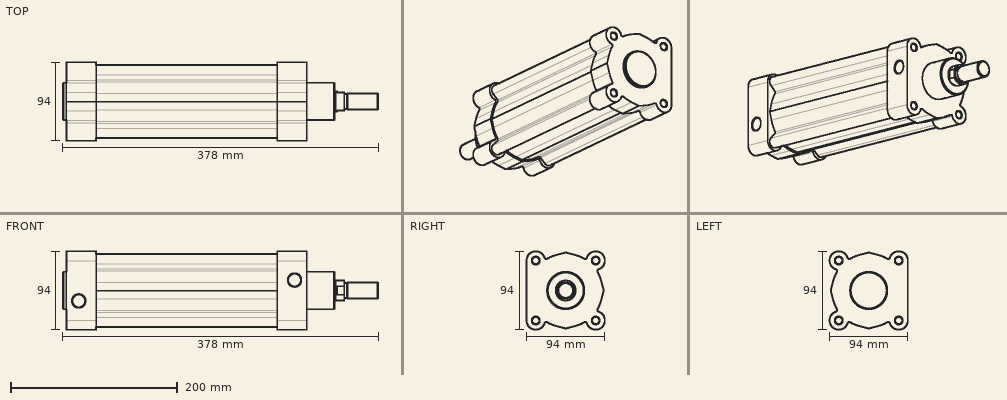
import cadquery as cq
import math

total_length = 378.0
overall_width = 94.0

rear_cap_start = 4.0
cap_length = 35.5
front_cap_end = 292.2
front_boss_end = 326.0
collar_length = 11.5
neck_length = 2.5

cap_radius = 44.2
cap_ridge_angle = 14.5
cap_lobe_offset = 36.0
cap_corner_fillet = 2.0
boss_diameter = 45.0
boss_chamfer = 1.0
bolt_hole_radius = 4.0
bolt_hole_chamfer = 0.8
bolt_hole_depth = 19.0

port_radius = 7.5
port_chamfer = 0.8
port_depth = 19.0
port_inset = 14.7
port_height = 12.5

barrel_radius = 42.5
barrel_ridge_angle = 13.4
barrel_lobe_offset = 37.0
barrel_lobe_radius = 6.8
barrel_corner_fillet = 2.0

collar_radius = 12.0
collar_chamfer = 1.0
collar_flat_width = 22.0
collar_flat_start = 3.0
rod_radius = 10.0
rod_chamfer = 1.0

corner_tolerance = 0.05

barrel_start = rear_cap_start + cap_length
front_cap_start = front_cap_end - cap_length
barrel_length = front_cap_start - barrel_start
cap_lobe_radius = overall_width / 2 - cap_lobe_offset
boss_radius = boss_diameter / 2
flat_side = overall_width / 2
collar_end = front_boss_end + collar_length
rod_start = collar_end + neck_length


def section_plane(x):
    """Plane across the cylinder axis: local x is Y, local y is Z, extrusion runs along +X."""
    return cq.Workplane("YZ", origin=(x, 0, 0))


def disc(x, radius, length):
    return section_plane(x).circle(radius).extrude(length)


def corner_points(offset):
    return [(y * offset, z * offset) for y in (-1, 1) for z in (-1, 1)]


def ridged_core(x, length, radius, ridge_angle):
    """Round core with four ridges, each made of two flats tangent to the round part."""
    half = math.radians(ridge_angle)
    ridge_top = radius / math.cos(half)

    def at(distance, angle):
        return (distance * math.cos(angle), distance * math.sin(angle))

    outline = section_plane(x).moveTo(*at(ridge_top, 0))
    for quarter in range(4):
        start = quarter * math.pi / 2
        outline = (
            outline.lineTo(*at(radius, start + half))
            .threePointArc(at(radius, start + math.pi / 4), at(radius, start + math.pi / 2 - half))
        )
        if quarter < 3:
            outline = outline.lineTo(*at(ridge_top, start + math.pi / 2))
    return outline.close().extrude(length)


def fillet_inner_corners(body, core_radius, fillet_radius):
    """Round the lengthwise corners where the lobes run into the core; they lie on the core's round part."""

    def is_inner_corner(edge):
        point = edge.Center()
        on_core = abs(math.hypot(point.y, point.z) - core_radius) < corner_tolerance
        return on_core and min(abs(point.y), abs(point.z)) > core_radius / 2

    corners = [edge for edge in body.edges("|X").vals() if is_inner_corner(edge)]
    return body.newObject(corners).fillet(fillet_radius)


def make_cap_block(x):
    """Cap outline: ridged core, four round lobes and a flat side toward -Y."""
    block = ridged_core(x, cap_length, cap_radius, cap_ridge_angle)
    lobes = (
        section_plane(x)
        .pushPoints(corner_points(cap_lobe_offset))
        .circle(cap_lobe_radius)
        .extrude(cap_length)
    )
    flat_pad = (
        section_plane(x)
        .center(-flat_side / 2, 0)
        .rect(flat_side, 2 * cap_lobe_offset)
        .extrude(cap_length)
    )
    block = block.union(lobes).union(flat_pad)
    return fillet_inner_corners(block, cap_radius, cap_corner_fillet)


def chamfered_bore(mouth, inward, radius, depth, chamfer):
    """Solid to cut away for a blind round hole whose mouth is widened by a chamfer."""
    bore = cq.Solid.makeCylinder(radius, depth, mouth, inward)
    flare = cq.Solid.makeCone(radius + chamfer, radius, chamfer, mouth, inward)
    return bore.fuse(flare)


def cut_bolt_holes(cap, face_x, inward):
    for y, z in corner_points(cap_lobe_offset):
        cap = cap.cut(
            chamfered_bore(
                cq.Vector(face_x, y, z), inward, bolt_hole_radius, bolt_hole_depth, bolt_hole_chamfer
            )
        )
    return cap


def cut_port(cap, x, z):
    mouth = cq.Vector(x, -flat_side, z)
    return cap.cut(chamfered_bore(mouth, cq.Vector(0, 1, 0), port_radius, port_depth, port_chamfer))


def make_rear_cap():
    boss = disc(0, boss_radius, rear_cap_start).faces("<X").chamfer(boss_chamfer)
    cap = make_cap_block(rear_cap_start).union(boss)
    cap = cut_bolt_holes(cap, rear_cap_start, cq.Vector(1, 0, 0))
    return cut_port(cap, rear_cap_start + port_inset, -port_height)


def make_front_cap():
    boss = disc(front_cap_end, boss_radius, front_boss_end - front_cap_end).faces(">X").chamfer(boss_chamfer)
    cap = make_cap_block(front_cap_start).union(boss)
    cap = cut_bolt_holes(cap, front_cap_end, cq.Vector(-1, 0, 0))
    return cut_port(cap, front_cap_end - port_inset, port_height)


def make_barrel():
    """Ridged profile with four diagonal fins that end in round lobes."""
    barrel = ridged_core(barrel_start, barrel_length, barrel_radius, barrel_ridge_angle)
    lobe_reach = barrel_lobe_offset * math.sqrt(2)
    fin_span = 2 * (lobe_reach + barrel_lobe_radius)
    for angle in (45, -45):
        fins = (
            section_plane(barrel_start)
            .slot2D(fin_span, 2 * barrel_lobe_radius, angle)
            .extrude(barrel_length)
        )
        barrel = barrel.union(fins)
    return fillet_inner_corners(barrel, barrel_radius, barrel_corner_fillet)


def make_rod():
    """Collar with two wrench flats, a tapered neck and the chamfered rod end."""
    collar = disc(front_boss_end, collar_radius, collar_length).faces("<X").chamfer(collar_chamfer)
    flats_length = collar_length - collar_flat_start
    for side in (-1, 1):
        flat_cut = cq.Workplane("XY").box(flats_length, collar_radius, 2 * collar_radius).translate(
            (collar_end - flats_length / 2, side * (collar_flat_width + collar_radius) / 2, 0)
        )
        collar = collar.cut(flat_cut)
    neck = cq.Workplane(
        cq.Solid.makeCone(
            rod_radius, rod_radius - rod_chamfer, neck_length,
            pnt=cq.Vector(collar_end, 0, 0), dir=cq.Vector(1, 0, 0),
        )
    )
    rod_end = disc(rod_start, rod_radius, total_length - rod_start).faces("<X or >X").chamfer(rod_chamfer)
    return collar.union(neck).union(rod_end)


rear_cap = make_rear_cap()
barrel = make_barrel()
front_cap = make_front_cap()
rod = make_rod()

result = cq.Compound.makeCompound([rear_cap.val(), barrel.val(), front_cap.val(), rod.val()])